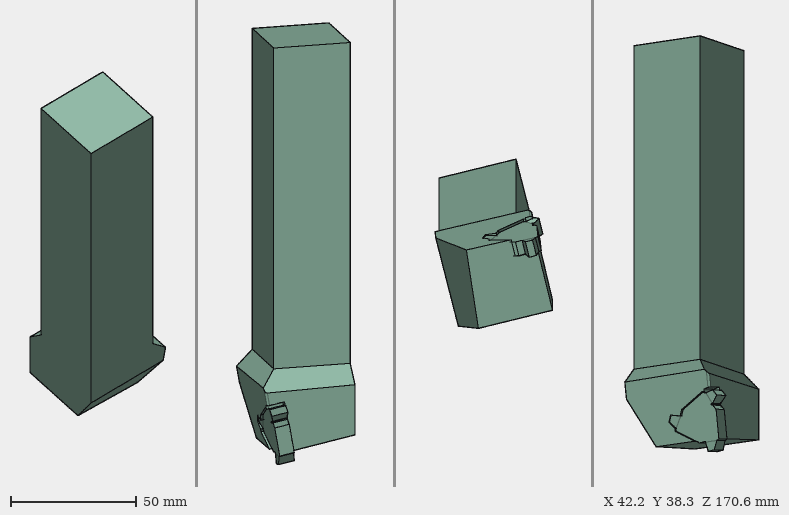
import cadquery as cq
import math

total_length = 170.8
shank_width = 31.8
head_top = 38.3

head_flare = 10.2
heel_height = 25.0
heel_angle = 30

pitch = 10
yaw = 1
seat_corner = (-7.7, 37.5, 31.5)
head_drop = 27.2
corner_radius = 0.9
block_size = 68.3
block_rise = 17

insert_right = 6.8
insert_down = 19.1
insert_depth = 7.2
insert_thickness = 6.1
tip_thickness = 6.8
tooth_count = 3
flat_distance = 8.2
flat_top = 3.6
flat_bottom = -8.4
tooth_root_left = (-7.2, -8.9)
tooth_tip_left = (-6.0, -12.5)
tooth_tip_right = (-3.0, -12.8)
tooth_root_right = (-1.7, -8.5)
tip_clearance = 1.5

pitch_rad = math.radians(pitch)
yaw_rad = math.radians(yaw)
seat_x = cq.Vector(math.cos(yaw_rad), math.sin(yaw_rad), 0)
seat_up = cq.Vector(
    -math.sin(pitch_rad) * math.sin(yaw_rad),
    math.sin(pitch_rad) * math.cos(yaw_rad),
    math.cos(pitch_rad),
)
seat = cq.Plane(origin=seat_corner, xDir=seat_x, normal=seat_up)

insert_plane = cq.Plane(
    origin=seat.toWorldCoords((insert_right, -insert_depth, -insert_down)),
    xDir=seat_x,
    normal=-seat.yDir,
)


def turned(point, angle):
    """Turn an outline point about the insert centre."""
    a = math.radians(angle)
    x, y = point
    return (x * math.cos(a) - y * math.sin(a), x * math.sin(a) + y * math.cos(a))


def insert_outline():
    """One flat and one tooth, repeated around the centre."""
    sector = [
        (-flat_distance, flat_top),
        (-flat_distance, flat_bottom),
        tooth_root_left,
        tooth_tip_left,
        tooth_tip_right,
        tooth_root_right,
    ]
    step = 360 / tooth_count
    return [turned(point, i * step) for i in range(tooth_count) for point in sector]


def insert_prism(depth):
    """Insert outline extruded backward from its front face."""
    return cq.Workplane(insert_plane).polyline(insert_outline()).close().extrude(-depth)


def make_insert():
    """Three-toothed plate whose teeth thicken toward their tips."""
    root = tooth_root_left[1]
    tip = tooth_tip_right[1]
    profile = [(0, root), (0, tip), (tip_thickness, tip), (insert_thickness, root)]
    side_plane = cq.Plane(
        origin=insert_plane.origin, xDir=seat.yDir, normal=seat_x
    )
    wedge = (
        cq.Workplane(side_plane).workplane(offset=-flat_distance)
        .polyline(profile).close().extrude(flat_distance)
    )
    full_teeth = insert_prism(tip_thickness)
    insert = insert_prism(insert_thickness)
    centre = insert_plane.origin
    axis_end = centre + insert_plane.zDir
    for i in range(tooth_count):
        turned_wedge = wedge.rotate(centre.toTuple(), axis_end.toTuple(), i * 360 / tooth_count)
        insert = insert.union(turned_wedge.intersect(full_teeth))
    return insert


def make_head():
    """Widened cutting end, trimmed by the pitched and yawed seat block."""
    heel_inset = heel_height * math.tan(math.radians(heel_angle))
    front_outline = [
        (0, head_top),
        (-head_flare, head_top - head_flare),
        (-head_flare, 0),
        (shank_width - heel_inset, 0),
        (shank_width, heel_height),
        (shank_width, head_top),
    ]
    side_outline = [
        (0, 0),
        (0, head_top),
        (shank_width, head_top),
        (shank_width + head_flare, head_top - head_flare),
        (shank_width + head_flare, 0),
    ]
    front_body = cq.Workplane("XZ").polyline(front_outline).close().extrude(-block_size)
    side_body = cq.Workplane("YZ").polyline(side_outline).close().extrude(block_size, both=True)
    block = (
        cq.Workplane(seat).workplane(offset=-head_drop)
        .rect(block_size, -block_size, centered=False).extrude(head_drop + block_rise)
        .edges(cq.selectors.NearestToPointSelector(seat_corner)).fillet(corner_radius)
    )
    return front_body.intersect(side_body).intersect(block)


def make_pocket():
    """Insert seat, open to the back, with room above the upper tooth."""
    pocket = insert_prism(block_size)
    tooth = [tooth_root_left, tooth_tip_left, tooth_tip_right, tooth_root_right]
    upper_tooth = [turned(point, -360 / tooth_count) for point in tooth]
    raised = [(x, y + tip_clearance) for x, y in upper_tooth]
    sweep = [upper_tooth[1], upper_tooth[0], raised[0], raised[1]]
    clearance = cq.Workplane(insert_plane).polyline(sweep).close().extrude(-block_size)
    return pocket.union(clearance)


shank = (
    cq.Workplane("XY").workplane(offset=head_top)
    .rect(shank_width, shank_width, centered=False).extrude(total_length - head_top)
)
holder = shank.union(make_head()).cut(make_pocket())
insert = make_insert()

result = cq.Compound.makeCompound([holder.val(), insert.val()])